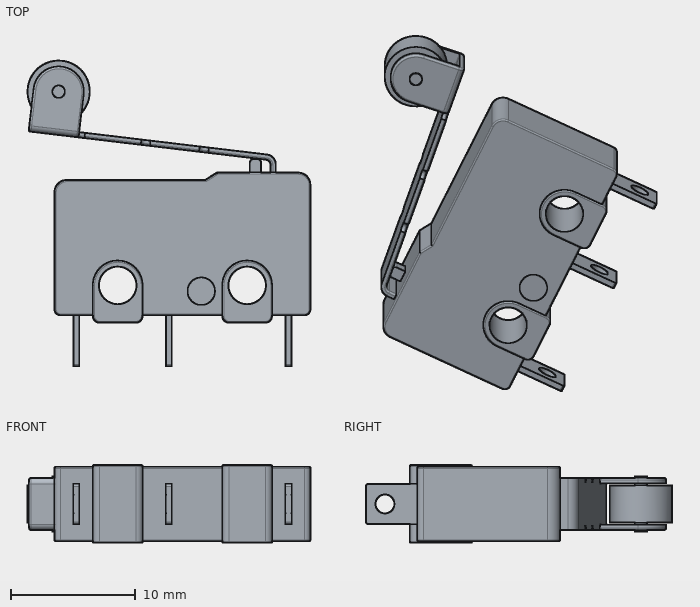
import cadquery as cq
import math


HOUSING_LENGTH = 20.55
HOUSING_THICKNESS = 6.0
LOW_TOP = 10.88
HIGH_TOP = 11.46
RAMP_START = 12.1
RAMP_END = 13.05
TOP_CORNER_RADIUS = 1.0
BOTTOM_CORNER_RADIUS = 0.5
FACE_EDGE_RADIUS = 0.12

BOSS_X = (5.08, 15.47)
BOSS_WIDTH = 4.0
BOSS_THICKNESS = 6.25
BOSS_OVERHANG = 0.6
BOSS_CORNER_RADIUS = 0.55
HOLE_Y = 2.4
HOLE_DIAMETER = 3.0

PLUG_X = 11.78
PLUG_Y = 1.95
PLUG_DIAMETER = 2.2

TERMINAL_X = (1.77, 9.18, 18.78)
TERMINAL_LENGTH = 4.1
TERMINAL_WIDTH = 3.25
TERMINAL_THICKNESS = 0.5
TERMINAL_TIP_RADIUS = 0.2
TERMINAL_HOLE_DIAMETER = 1.5
TERMINAL_HOLE_TO_TIP = 1.52

ROLLER_DIAMETER = 5.0
ROLLER_WIDTH = 3.0
ROLLER_X = 0.35
ROLLER_Y = 17.95
AXLE_DIAMETER = 1.0
AXLE_LENGTH = 4.47

LEVER_TILT = 6.8
LEVER_WIDTH = 4.2
SHEET = 0.45
ARM_UNDERSIDE_DROP = 3.45
LEG_OUTER_X = 17.77
LEG_BEND_RADIUS = 0.4
FORK_WIDTH = 4.05
FORK_BEND_RADIUS = 0.5
SHEET_EDGE_RADIUS = 0.17
NOTCH_RADIUS = 0.37
NOTCH_STATIONS = (2.14, 7.41, 12.13)

BUTTON_X = 16.13
BUTTON_WIDTH = 0.93
BUTTON_DEPTH = 1.4
BUTTON_TOP_RADIUS = 0.35

TILT = math.radians(LEVER_TILT)


def arm_height(x, drop):
    """Y at x on the line parallel to the arm, the given drop below the roller axis."""
    return ROLLER_Y - drop / math.cos(TILT) - (x - ROLLER_X) * math.tan(TILT)


def plate(sketch, thickness):
    """Extrude a sketch along Z, centred on the mid-plane."""
    return sketch.extrude(thickness).translate((0, 0, -thickness / 2))


def cylinder(x, y, diameter, length):
    return plate(cq.Workplane("XY").center(x, y).circle(diameter / 2), length)


def make_boss(x):
    boss_top = HOLE_Y + BOSS_WIDTH / 2
    outline = (
        cq.Workplane("XY")
        .moveTo(x - BOSS_WIDTH / 2, -BOSS_OVERHANG)
        .lineTo(x + BOSS_WIDTH / 2, -BOSS_OVERHANG)
        .lineTo(x + BOSS_WIDTH / 2, HOLE_Y)
        .threePointArc((x, boss_top), (x - BOSS_WIDTH / 2, HOLE_Y))
        .close()
    )
    boss = plate(outline, BOSS_THICKNESS)
    boss = boss.edges("|Z and <Y").fillet(BOSS_CORNER_RADIUS)
    return boss.faces("<Z or >Z").edges().fillet(FACE_EDGE_RADIUS)


def make_housing():
    outline = cq.Workplane("XY").polyline(
        [
            (0, 0),
            (HOUSING_LENGTH, 0),
            (HOUSING_LENGTH, HIGH_TOP),
            (RAMP_END, HIGH_TOP),
            (RAMP_START, LOW_TOP),
            (0, LOW_TOP),
        ]
    ).close()
    housing = plate(outline, HOUSING_THICKNESS)
    housing = housing.edges("|Z and <Y").fillet(BOTTOM_CORNER_RADIUS)
    for x, y in ((0, LOW_TOP), (HOUSING_LENGTH, HIGH_TOP)):
        corner = cq.selectors.NearestToPointSelector((x, y, 0))
        housing = housing.edges(corner).fillet(TOP_CORNER_RADIUS)
    housing = housing.faces("<Z or >Z").edges().fillet(FACE_EDGE_RADIUS)
    for x in BOSS_X:
        housing = housing.union(make_boss(x))
    for x in BOSS_X:
        housing = housing.cut(cylinder(x, HOLE_Y, HOLE_DIAMETER, BOSS_THICKNESS))
    return housing.cut(make_plug())


def make_plug():
    return cylinder(PLUG_X, PLUG_Y, PLUG_DIAMETER, HOUSING_THICKNESS)


def make_terminal(x):
    blade = cq.Workplane("XY").box(
        TERMINAL_THICKNESS, TERMINAL_LENGTH, TERMINAL_WIDTH
    )
    blade = blade.edges("|X and <Y").fillet(TERMINAL_TIP_RADIUS)
    hole_y = TERMINAL_HOLE_TO_TIP - TERMINAL_LENGTH / 2
    hole = (
        cq.Workplane("YZ")
        .center(hole_y, 0)
        .circle(TERMINAL_HOLE_DIAMETER / 2)
        .extrude(TERMINAL_THICKNESS, both=True)
    )
    return blade.cut(hole).translate((x, -TERMINAL_LENGTH / 2, 0))


def make_roller():
    roller = cylinder(ROLLER_X, ROLLER_Y, ROLLER_DIAMETER, ROLLER_WIDTH)
    return roller.cut(make_axle())


def make_axle():
    return cylinder(ROLLER_X, ROLLER_Y, AXLE_DIAMETER, AXLE_LENGTH)


def place_on_arm(shape):
    """Move a shape built around the roller axis, arm along +X, to its tilted place."""
    tilted = shape.rotate((0, 0, 0), (0, 0, 1), -LEVER_TILT)
    return tilted.translate((ROLLER_X, ROLLER_Y, 0))


def make_notch_cutter(station, side):
    """Round cutter centred on one long edge of the arm."""
    cutter = (
        cq.Workplane("XZ")
        .center(station, side * LEVER_WIDTH / 2)
        .circle(NOTCH_RADIUS)
        .extrude(2 * SHEET, both=True)
    )
    return place_on_arm(cutter.translate((0, -ARM_UNDERSIDE_DROP, 0)))


def make_arm():
    """Notched sheet strip from the fork to the hinge leg, its lower and inner edges rounded."""
    arm_start = ROLLER_X
    leg_inner_x = LEG_OUTER_X - SHEET
    upper_drop = ARM_UNDERSIDE_DROP - SHEET
    inner_corner = (leg_inner_x, arm_height(leg_inner_x, ARM_UNDERSIDE_DROP))
    outer_corner = (LEG_OUTER_X, arm_height(LEG_OUTER_X, upper_drop))
    underside_start = (arm_start, arm_height(arm_start, ARM_UNDERSIDE_DROP))
    outline = cq.Workplane("XY").polyline(
        [
            underside_start,
            inner_corner,
            (leg_inner_x, HIGH_TOP),
            (LEG_OUTER_X, HIGH_TOP),
            outer_corner,
            (arm_start, arm_height(arm_start, upper_drop)),
        ]
    ).close()
    arm = plate(outline, LEVER_WIDTH)
    for corner, radius in (
        (inner_corner, LEG_BEND_RADIUS),
        (outer_corner, LEG_BEND_RADIUS + SHEET),
    ):
        bend = cq.selectors.NearestToPointSelector((*corner, 0))
        arm = arm.edges(bend).fillet(radius)
    for station in NOTCH_STATIONS:
        for side in (-1, 1):
            arm = arm.cut(make_notch_cutter(station, side))
    middle_x = (arm_start + leg_inner_x) / 2
    underside_middle = (middle_x, arm_height(middle_x, ARM_UNDERSIDE_DROP), 0)
    underside = cq.selectors.NearestToPointSelector(underside_middle)
    arm = arm.faces(underside).edges("not(|Z)").fillet(SHEET_EDGE_RADIUS)
    tongue_width = LEVER_WIDTH - 3 * FORK_BEND_RADIUS
    shoulder = cq.Workplane("XY").box(FORK_WIDTH, 4 * SHEET, LEVER_WIDTH)
    tongue = cq.Workplane("XY").box(FORK_WIDTH, 4 * SHEET, tongue_width)
    sides = shoulder.cut(tongue).translate((0, -ARM_UNDERSIDE_DROP, 0))
    return arm.cut(place_on_arm(sides))


def make_fork():
    """U-shaped roller fork around the roller axis, its outside edges rounded."""
    ear_radius = FORK_WIDTH / 2
    ear_outline = (
        cq.Workplane("XY")
        .moveTo(-ear_radius, -ARM_UNDERSIDE_DROP)
        .lineTo(ear_radius, -ARM_UNDERSIDE_DROP)
        .lineTo(ear_radius, 0)
        .threePointArc((0, ear_radius), (-ear_radius, 0))
        .close()
    )
    fork = plate(ear_outline, LEVER_WIDTH)
    fork = fork.edges("|X and <Y").fillet(FORK_BEND_RADIUS)
    fork = fork.faces("<Z or >Z").edges("%CIRCLE").fillet(SHEET_EDGE_RADIUS)
    inside_height = ARM_UNDERSIDE_DROP - SHEET + ear_radius
    inside = cq.Workplane("XY").box(
        2 * FORK_WIDTH, inside_height, LEVER_WIDTH - 2 * SHEET
    )
    inside = inside.edges("|X and <Y").fillet(FORK_BEND_RADIUS - SHEET)
    return fork.cut(inside.translate((0, ear_radius - inside_height / 2, 0)))


def make_lever():
    lever = make_arm().union(place_on_arm(make_fork()))
    return lever.cut(make_axle())


def make_button():
    """Plunger whose rounded top just touches the underside of the arm."""
    round_x = BUTTON_X + BUTTON_WIDTH / 2 - BUTTON_TOP_RADIUS
    round_y = arm_height(round_x, ARM_UNDERSIDE_DROP + BUTTON_TOP_RADIUS)
    height = round_y + BUTTON_TOP_RADIUS - HIGH_TOP
    button = cq.Workplane("XY").box(BUTTON_WIDTH, height, BUTTON_DEPTH)
    button = button.edges("|Z and >Y").fillet(BUTTON_TOP_RADIUS)
    return button.translate((BUTTON_X, HIGH_TOP + height / 2, 0))


housing = make_housing()
plug = make_plug()
terminals = [make_terminal(x) for x in TERMINAL_X]
button = make_button()
lever = make_lever()
roller = make_roller()
axle = make_axle()

result = cq.Compound.makeCompound(
    [
        housing.val(),
        plug.val(),
        *[terminal.val() for terminal in terminals],
        button.val(),
        lever.val(),
        roller.val(),
        axle.val(),
    ]
)